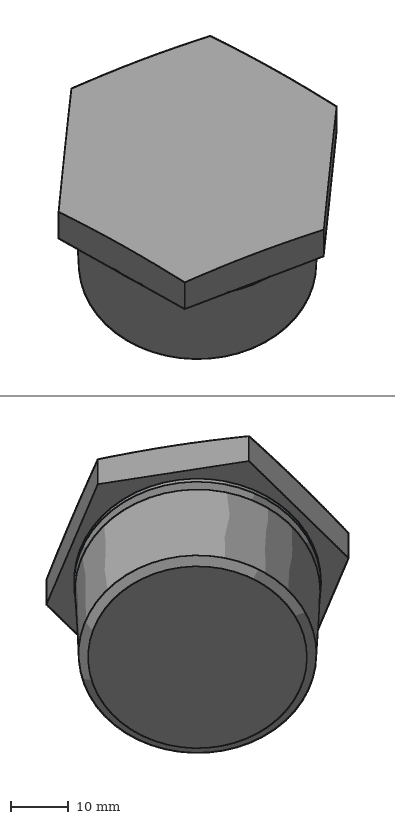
import cadquery as cq
import math

across_corners = 53.1
across_flats = across_corners * math.cos(math.radians(30))
total_height = 32.0
head_height = 8.4
head_chamfer_angle = 10.0

collar_radius = 21.35
collar_height = 0.95
groove_root_radius = 19.6
groove_shoulder_radius = 19.85
groove_root_height = 0.65
groove_height = 2.2

shank_top_radius = 21.2
shank_bottom_radius = 20.55
tip_radius = 18.9
tip_chamfer_height = 0.95

head_bottom = total_height - head_height
collar_bottom = head_bottom - collar_height
shank_top = collar_bottom - groove_height
groove_middle = (collar_bottom + shank_top) / 2


def make_head():
    """Hexagon with its top corners trimmed by a shallow cone touching the flats."""
    hexagon = (
        cq.Workplane("XY")
        .workplane(offset=head_bottom)
        .polygon(6, across_corners)
        .extrude(head_height)
    )
    corner_radius = across_corners / 2
    top_radius = across_flats / 2
    corner_drop = (corner_radius - top_radius) * math.tan(math.radians(head_chamfer_angle))
    envelope = (
        cq.Workplane("XZ")
        .moveTo(0, head_bottom)
        .lineTo(corner_radius, head_bottom)
        .lineTo(corner_radius, total_height - corner_drop)
        .lineTo(top_radius, total_height)
        .lineTo(0, total_height)
        .close()
        .revolve(360, (0, 0), (0, 1))
    )
    return hexagon.intersect(envelope)


def make_shank():
    """Tapered shank with a chamfered tip, a round-bottomed groove and a collar."""
    return (
        cq.Workplane("XZ")
        .lineTo(tip_radius, 0)
        .lineTo(shank_bottom_radius, tip_chamfer_height)
        .lineTo(shank_top_radius, shank_top)
        .lineTo(groove_shoulder_radius, groove_middle - groove_root_height / 2)
        .threePointArc(
            (groove_root_radius, groove_middle),
            (groove_shoulder_radius, groove_middle + groove_root_height / 2),
        )
        .lineTo(collar_radius, collar_bottom)
        .lineTo(collar_radius, head_bottom)
        .lineTo(0, head_bottom)
        .close()
        .revolve(360, (0, 0), (0, 1))
    )


result = make_head().union(make_shank())